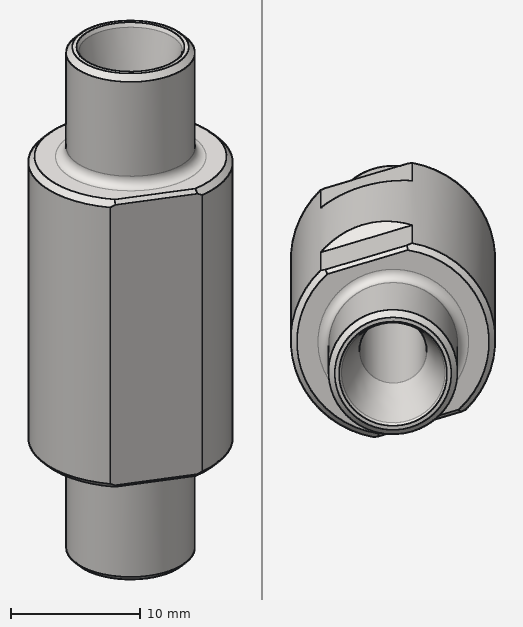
import cadquery as cq
import math

total_length = 44.0
body_length = 25.0
body_diameter = 15.85
spigot_diameter = 10.0
body_chamfer = 0.5
spigot_chamfer = 0.5
root_fillet = 0.85

flat_offset = 7.0
flat_length = 5.85
flat_chamfer = 0.3

bore_diameter = 5.2
seat_diameter = 8.0
seat_half_angle = 12.0
mouth_diameter = 8.35
mouth_depth = 0.3

half_body = body_length / 2
half_length = total_length / 2
body_radius = body_diameter / 2
spigot_radius = spigot_diameter / 2
bore_radius = bore_diameter / 2
seat_radius = seat_diameter / 2
mouth_radius = mouth_diameter / 2
seat_depth = (seat_radius - bore_radius) / math.tan(math.radians(seat_half_angle))


def make_flat_cutter():
    """Cutter for the upper -X flat: 45 degree run-out below, edge chamfer above."""
    flat_bottom = half_body - flat_length
    flat_depth = body_radius - flat_offset
    return (
        cq.Workplane("XZ")
        .moveTo(-body_radius, flat_bottom - flat_depth)
        .lineTo(-flat_offset, flat_bottom)
        .lineTo(-flat_offset, half_body - flat_chamfer)
        .lineTo(-flat_offset + flat_chamfer, half_body)
        .lineTo(-body_radius, half_body)
        .close()
        .extrude(body_radius, both=True)
    )


def make_full_flat_cutter():
    """Cutter for the full-length +X flat, with an edge chamfer at both ends."""
    return (
        cq.Workplane("XZ")
        .moveTo(body_radius, -half_body)
        .lineTo(flat_offset - flat_chamfer, -half_body)
        .lineTo(flat_offset, -half_body + flat_chamfer)
        .lineTo(flat_offset, half_body - flat_chamfer)
        .lineTo(flat_offset - flat_chamfer, half_body)
        .lineTo(body_radius, half_body)
        .close()
        .extrude(body_radius, both=True)
    )


def make_body():
    """Central barrel: short flats at both ends on -X, one full-length flat on +X."""
    barrel = cq.Workplane("XY").circle(body_radius).extrude(half_body, both=True)
    barrel = barrel.faces("<Z or >Z").chamfer(body_chamfer)
    upper_cutter = make_flat_cutter()
    barrel = barrel.cut(upper_cutter)
    barrel = barrel.cut(upper_cutter.mirror("XY"))
    return barrel.cut(make_full_flat_cutter())


def make_spigots():
    """Solid of revolution with both spigots and their root fillets."""
    arc_offset = root_fillet * (1 - math.sqrt(0.5))
    upper = (
        cq.Workplane("XZ")
        .moveTo(0, 0)
        .lineTo(spigot_radius + root_fillet, 0)
        .lineTo(spigot_radius + root_fillet, half_body)
        .threePointArc(
            (spigot_radius + arc_offset, half_body + arc_offset),
            (spigot_radius, half_body + root_fillet),
        )
        .lineTo(spigot_radius, half_length - spigot_chamfer)
        .lineTo(spigot_radius - spigot_chamfer, half_length)
        .lineTo(0, half_length)
        .close()
        .revolve(360, (0, 0, 0), (0, 1, 0))
    )
    return upper.union(upper.mirror("XY"))


def make_bore():
    """Through bore opening into a conical seat with a chamfered mouth at each end."""
    seat_top = half_length - mouth_depth
    upper = (
        cq.Workplane("XZ")
        .moveTo(0, 0)
        .lineTo(bore_radius, 0)
        .lineTo(bore_radius, seat_top - seat_depth)
        .lineTo(seat_radius, seat_top)
        .lineTo(mouth_radius, half_length)
        .lineTo(0, half_length)
        .close()
        .revolve(360, (0, 0, 0), (0, 1, 0))
    )
    return upper.union(upper.mirror("XY"))


result = make_body().union(make_spigots()).cut(make_bore())